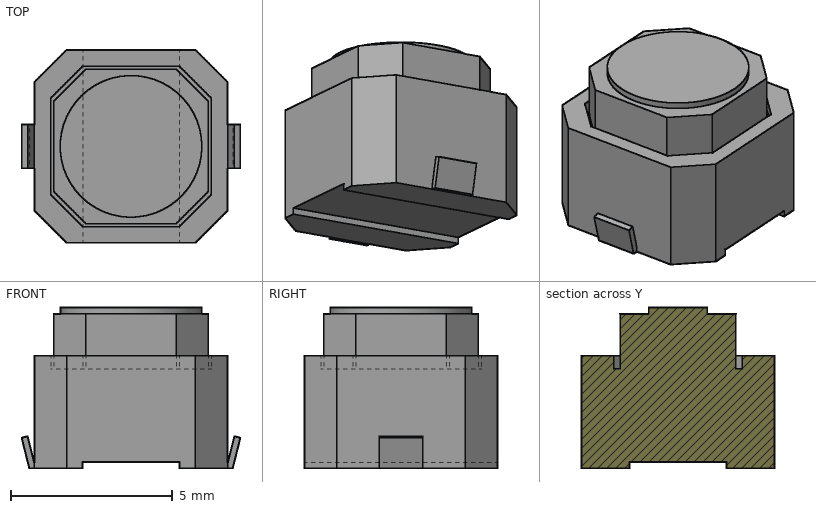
import cadquery as cq
import math

housing_width = 6.0
housing_height = 3.5
corner_cut = 1.0
wall_thickness = 0.5
foot_height = 0.2
foot_spacing = 3.0

button_gap = 0.095
button_top = 4.8
groove_depth = 0.4
disc_diameter = 4.4
total_height = 5.0

terminal_span = 6.8
terminal_width = 1.36
terminal_thickness = 0.2
terminal_tip_height = 0.95
terminal_lean = 0.24

pocket_width = housing_width - 2 * wall_thickness
button_width = pocket_width - 2 * button_gap


def octagon_block(width, bottom, top):
    """Square block with its four vertical edges cut at 45 degrees."""
    block = cq.Workplane("XY").workplane(offset=bottom).rect(width, width).extrude(top - bottom)
    return block.edges("|Z").chamfer(corner_cut)


def make_housing():
    """Housing with a central button, a groove around it and a channel underneath."""
    outer = octagon_block(housing_width, 0, housing_height)
    pocket = octagon_block(pocket_width, housing_height - groove_depth, housing_height)
    button = octagon_block(button_width, housing_height - groove_depth, button_top)
    disc = (
        cq.Workplane("XY")
        .workplane(offset=button_top)
        .circle(disc_diameter / 2)
        .extrude(total_height - button_top)
    )
    channel = cq.Workplane("XY").box(
        foot_spacing, housing_width, foot_height, centered=(True, True, False)
    )
    return outer.cut(pocket).cut(channel).union(button).union(disc)


def make_terminal(side):
    """Leaning strip against the housing wall; side is -1 for -X and +1 for +X."""
    wall_x = housing_width / 2
    tip_x = terminal_span / 2
    lean_angle = math.atan2(terminal_lean, terminal_tip_height)
    inner_tip_x = tip_x - terminal_thickness * math.cos(lean_angle)
    inner_tip_z = terminal_tip_height + terminal_thickness * math.sin(lean_angle)
    wall_contact_z = inner_tip_z - (inner_tip_x - wall_x) / math.tan(lean_angle)
    outline = [
        (side * wall_x, 0),
        (side * (tip_x - terminal_lean), 0),
        (side * tip_x, terminal_tip_height),
        (side * inner_tip_x, inner_tip_z),
        (side * wall_x, wall_contact_z),
    ]
    return cq.Workplane("XZ").polyline(outline).close().extrude(terminal_width / 2, both=True)


housing = make_housing()
terminals = [make_terminal(side) for side in (-1, 1)]

result = cq.Compound.makeCompound([housing.val(), *[terminal.val() for terminal in terminals]])